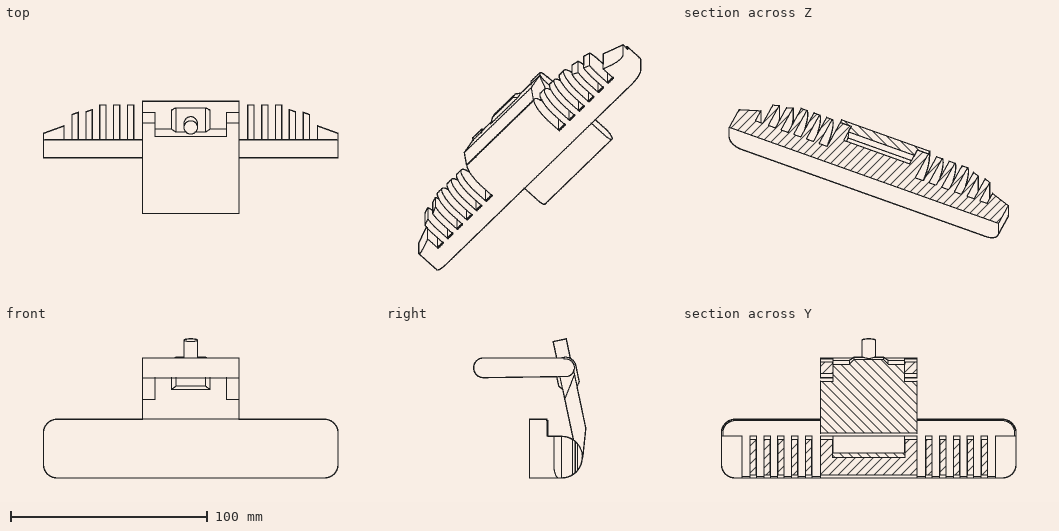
import cadquery as cq
import math


PLATE_LENGTH = 150.0
PLATE_HEIGHT = 30.0
PLATE_THICKNESS = 9.0
CORNER_RADIUS = 7.0
LIP_THICKNESS = 0.5
LIP_INSET = 0.8
FIN_RADIUS = 10.6
FIN_CENTER_Y = 16.4
FIN_HEIGHT = 2 * FIN_RADIUS
FIN_WIDTH = 3.3
FIN_PITCH = 7.0
FIRST_FIN_X = 58.8
FIN_COUNT = 5
FIN_BEVEL_ANGLE = 20.0
FIN_BEVEL_DEPTHS = [22.0, 23.4]
END_FIN_WIDTH = 10.6

HINGE_Y = 18.5
HINGE_Z = 56.1
SHAFT_LENGTH = 36.5
BRACKET_WIDTH = 49.2

LEAN = 12.0
ARM_RADIUS = 3.8
BACK_KINK_Z = 25.4
FRONT_KINK_Z = 19.5
FOOT_LEAN = 6.0
FOOT_Z = FIN_RADIUS
EAR_CUT_TOP = (23.0, 52.5)
EAR_CUT_BOTTOM = (18.3, 40.8)
BOSS_RADIUS = 5.4
BOSS_LENGTH = 19.8
BOSS_BEVEL_X = 2.4
BOSS_BEVEL_DOWN = 2.1
BOSS_DROP = 8.4
STUD_RADIUS = 3.5
STUD_REACH = 14.4

KNUCKLE_RADIUS = 4.5
FLAP_EDGE_RADIUS = 5.1
FLAP_FRONT_Y = -28.4
STEP_Y = 17.7
NOTCH_FRONT_Y = 10.8

LEAN_TANGENT = math.tan(math.radians(LEAN))
ARM_HALF_RUN = ARM_RADIUS / math.cos(math.radians(LEAN))


def side_profile(width, x_center=0.0):
    """Workplane for (y, z) outlines; extrude(width) fills x_center +- width / 2."""
    return cq.Workplane("YZ", origin=(x_center - width / 2, 0, 0))


def cross_rod(y, z, radius, length):
    """Rod along X, centered on the YZ plane."""
    return side_profile(length).center(y, z).circle(radius).extrude(length)


def both_ears(outline_points):
    """Solid of an outline over the ears, on both sides of the shaft."""
    ear_width = (BRACKET_WIDTH - SHAFT_LENGTH) / 2
    ear_x = (BRACKET_WIDTH + SHAFT_LENGTH) / 4
    left = side_profile(ear_width, -ear_x).polyline(outline_points).close().extrude(ear_width)
    return left.union(left.mirror("YZ"))



def arm_outline():
    """Closed (y, z) points of the arm, from the hinge axis down to the foot."""
    foot_slope = math.tan(math.radians(FOOT_LEAN))

    def arm_y(z, side):
        return HINGE_Y + (HINGE_Z - z) * LEAN_TANGENT + side * ARM_HALF_RUN

    back_y = arm_y(BACK_KINK_Z, 1)
    front_y = arm_y(FRONT_KINK_Z, -1)
    return [
        hinge_point(-ARM_RADIUS, 0),
        hinge_point(ARM_RADIUS, 0),
        (back_y, BACK_KINK_Z),
        (back_y - (BACK_KINK_Z - FOOT_Z) * foot_slope, FOOT_Z),
        (front_y - (FRONT_KINK_Z - FOOT_Z) * foot_slope, FOOT_Z),
        (front_y, FRONT_KINK_Z),
    ]


def hinge_point(across, along):
    """(y, z) of a point given across and along the leaning arm, from the hinge axis."""
    lean = math.radians(LEAN)
    y = HINGE_Y + across * math.cos(lean) - along * math.sin(lean)
    z = HINGE_Z + across * math.sin(lean) + along * math.cos(lean)
    return y, z


def make_boss():
    """Bevelled boss around the shaft, built upright on the hinge axis and then leaned."""
    flat_length = BOSS_LENGTH - 2 * BOSS_BEVEL_X
    long_drop = 2 * BOSS_DROP
    bottom = -BOSS_DROP - BOSS_BEVEL_DOWN

    def rounded_top(plane, radius):
        return (
            plane.moveTo(-radius, -long_drop).lineTo(-radius, 0)
            .threePointArc((0, radius), (radius, 0)).lineTo(radius, -long_drop).close()
        )

    end_base = rounded_top(cq.Workplane("YZ", origin=(flat_length / 2, 0, 0)), BOSS_RADIUS)
    end = rounded_top(end_base.workplane(offset=BOSS_BEVEL_X), ARM_RADIUS).loft(ruled=True)
    middle = rounded_top(side_profile(flat_length), BOSS_RADIUS).extrude(flat_length)
    bevelled_ends = middle.union(end).union(end.mirror("YZ"))
    bevelled_bottom = (
        side_profile(BOSS_LENGTH)
        .polyline([
            (-BOSS_RADIUS, BOSS_RADIUS), (-BOSS_RADIUS, -BOSS_DROP), (-ARM_RADIUS, bottom),
            (ARM_RADIUS, bottom), (BOSS_RADIUS, -BOSS_DROP), (BOSS_RADIUS, BOSS_RADIUS),
        ])
        .close().extrude(BOSS_LENGTH)
    )
    return bevelled_ends.intersect(bevelled_bottom)


def make_stud():
    return cq.Workplane("XY").circle(STUD_RADIUS).extrude(STUD_REACH)


def make_upright():
    arm = side_profile(BRACKET_WIDTH).polyline(arm_outline()).close().extrude(BRACKET_WIDTH)
    shaft = cross_rod(HINGE_Y, HINGE_Z, ARM_RADIUS, SHAFT_LENGTH)
    top_fitting = (
        make_boss().union(make_stud())
        .rotate((0, 0, 0), (1, 0, 0), LEAN)
        .translate((0, HINGE_Y, HINGE_Z))
    )

    cut_slope = (EAR_CUT_TOP[0] - EAR_CUT_BOTTOM[0]) / (EAR_CUT_TOP[1] - EAR_CUT_BOTTOM[1])
    cut_top_z = HINGE_Z + 2 * ARM_RADIUS
    cut_bottom_z = EAR_CUT_BOTTOM[1] - ARM_RADIUS
    cut_top_y = EAR_CUT_TOP[0] + (cut_top_z - EAR_CUT_TOP[1]) * cut_slope
    cut_bottom_y = EAR_CUT_BOTTOM[0] + (cut_bottom_z - EAR_CUT_BOTTOM[1]) * cut_slope
    ear_cuts = both_ears([
        (cut_top_y, cut_top_z), (cut_bottom_y, cut_bottom_z), (0, cut_bottom_z), (0, cut_top_z),
    ])

    ear_seats = cross_rod(FIN_CENTER_Y, FIN_RADIUS, FIN_RADIUS, BRACKET_WIDTH).cut(
        cross_rod(FIN_CENTER_Y, FIN_RADIUS, FIN_RADIUS, SHAFT_LENGTH)
    )
    return arm.cut(ear_cuts).cut(ear_seats).union(shaft).union(top_fitting)



def make_plate():
    plate = (
        cq.Workplane("XZ").center(0, PLATE_HEIGHT / 2).rect(PLATE_LENGTH, PLATE_HEIGHT)
        .extrude(-PLATE_THICKNESS).edges("|Y").fillet(CORNER_RADIUS)
    )
    lip = (
        cq.Workplane("XZ", origin=(0, PLATE_THICKNESS, PLATE_HEIGHT / 2))
        .rect(PLATE_LENGTH - 2 * LIP_INSET, PLATE_HEIGHT - 2 * LIP_INSET)
        .extrude(-LIP_THICKNESS).edges("|Y").fillet(CORNER_RADIUS - LIP_INSET)
    )
    return plate.union(lip)


def round_backed_block(width, x_center=0.0):
    """Block behind the plate with a half-round back."""
    return (
        side_profile(width, x_center)
        .moveTo(PLATE_THICKNESS, 0).lineTo(FIN_CENTER_Y, 0)
        .threePointArc((FIN_CENTER_Y + FIN_RADIUS, FIN_RADIUS), (FIN_CENTER_Y, FIN_HEIGHT))
        .lineTo(PLATE_THICKNESS, FIN_HEIGHT).close().extrude(width)
    )


def bevel_cut(outer_x, width, depth):
    """Wedge that slopes a right-hand fin's back down to the given depth at its outer face."""
    inner_depth = depth + width * math.tan(math.radians(FIN_BEVEL_ANGLE))
    behind_y = FIN_CENTER_Y + 2 * FIN_RADIUS
    return (
        cq.Workplane("XY")
        .polyline([
            (outer_x, depth), (outer_x - width, inner_depth), (outer_x - width, behind_y),
            (outer_x, behind_y),
        ])
        .close().extrude(FIN_HEIGHT)
    )


def make_end_fin():
    """Wide low fin at the plate's right end, rounded at its lower outer corner like the plate."""
    outer_x = PLATE_LENGTH / 2
    outer_depth = FIN_CENTER_Y - END_FIN_WIDTH * math.tan(math.radians(FIN_BEVEL_ANGLE))
    fin = (
        cq.Workplane("XY")
        .box(END_FIN_WIDTH, FIN_CENTER_Y - PLATE_THICKNESS, FIN_HEIGHT, centered=False)
        .translate((outer_x - END_FIN_WIDTH, PLATE_THICKNESS, 0))
        .edges("|Y and >X and <Z").fillet(CORNER_RADIUS)
    )
    return fin.cut(bevel_cut(outer_x, END_FIN_WIDTH, outer_depth))


def make_fins():
    """All fins of the right-hand side."""
    fins = make_end_fin()
    for index in range(FIN_COUNT):
        x_center = FIRST_FIN_X - index * FIN_PITCH
        fin = round_backed_block(FIN_WIDTH, x_center)
        if index < len(FIN_BEVEL_DEPTHS):
            fin = fin.cut(bevel_cut(x_center + FIN_WIDTH / 2, FIN_WIDTH, FIN_BEVEL_DEPTHS[index]))
        fins = fins.union(fin)
    return fins


def make_head():
    fins = make_fins()
    foot_recess = (
        cq.Workplane("XY")
        .box(SHAFT_LENGTH, 2 * FIN_RADIUS, FIN_HEIGHT, centered=(True, False, False))
        .translate((0, FIN_CENTER_Y, FOOT_Z))
    )
    core = round_backed_block(BRACKET_WIDTH).cut(foot_recess)
    return make_plate().union(fins).union(fins.mirror("YZ")).union(core)



def make_flap():
    edge_y = FLAP_FRONT_Y + FLAP_EDGE_RADIUS
    body = (
        side_profile(BRACKET_WIDTH)
        .moveTo(edge_y, HINGE_Z - FLAP_EDGE_RADIUS)
        .threePointArc((FLAP_FRONT_Y, HINGE_Z), (edge_y, HINGE_Z + FLAP_EDGE_RADIUS))
        .lineTo(STEP_Y, HINGE_Z + FLAP_EDGE_RADIUS)
        .lineTo(STEP_Y, HINGE_Z + KNUCKLE_RADIUS)
        .lineTo(HINGE_Y, HINGE_Z + KNUCKLE_RADIUS)
        .threePointArc((HINGE_Y + KNUCKLE_RADIUS, HINGE_Z), (HINGE_Y, HINGE_Z - KNUCKLE_RADIUS))
        .close().extrude(BRACKET_WIDTH)
    )
    notch_depth = HINGE_Y + KNUCKLE_RADIUS - NOTCH_FRONT_Y
    notch = (
        cq.Workplane("XY")
        .box(SHAFT_LENGTH, notch_depth, 3 * FLAP_EDGE_RADIUS, centered=(True, False, True))
        .translate((0, NOTCH_FRONT_Y, HINGE_Z))
    )
    return body.cut(notch)


head = make_head()
upright = make_upright()
flap = make_flap()

result = cq.Compound.makeCompound([head.solids().val(), upright.solids().val(), flap.solids().val()])